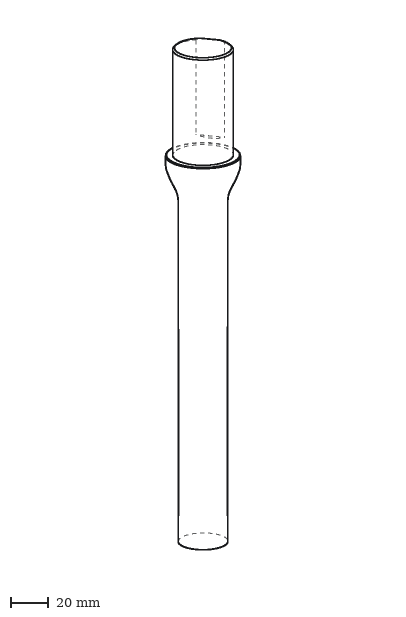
import cadquery as cq

total_length = 276.73
shank_length = 60.0
collar_height = 5.5
taper_length = 19.5
neck_length = 5.0
collar_top = total_length - shank_length
collar_bottom = collar_top - collar_height
neck_top = collar_bottom - taper_length
neck_bottom = neck_top - neck_length
body_top = 115.0
body_bottom = 14.75
head_length = 11.5

shank_radius = 31.99 / 2
collar_radius = 39.5 / 2
neck_radius = 26.32 / 2
head_radius = neck_radius
body_radius = 26.05 / 2

shank_chamfer = 1.0
collar_chamfer = 0.5

flat_offset = 14.0
flat_end_height = 5.8


def blend_up(profile, start_radius, start_z, end_radius, end_z):
    """Add an S-shaped curve that is parallel to the axis at both ends."""
    handle = (end_z - start_z) / 3
    return profile.bezier(
        [
            (start_radius, start_z),
            (start_radius, start_z + handle),
            (end_radius, end_z - handle),
            (end_radius, end_z),
        ]
    )


def make_turned_body():
    """Revolve the half profile of the head, body, neck, collar and shank."""
    profile = (
        cq.Workplane("XZ")
        .lineTo(head_radius, 0)
        .lineTo(head_radius, head_length)
        .lineTo(body_radius, body_bottom)
        .lineTo(body_radius, body_top)
    )
    profile = blend_up(profile, body_radius, body_top, neck_radius, neck_bottom)
    profile = profile.lineTo(neck_radius, neck_top)
    profile = blend_up(profile, neck_radius, neck_top, collar_radius, collar_bottom)
    profile = (
        profile.lineTo(collar_radius, collar_top - collar_chamfer)
        .lineTo(collar_radius - collar_chamfer, collar_top)
        .lineTo(shank_radius, collar_top)
        .lineTo(shank_radius, total_length - shank_chamfer)
        .lineTo(shank_radius - shank_chamfer, total_length)
        .lineTo(0, total_length)
        .close()
    )
    return profile.revolve(360, (0, 0, 0), (0, 1, 0))


def make_flat_cutter():
    """Block outside the clamping flat, with a 45 degree lower face."""
    flat_end_z = collar_top + flat_end_height
    cutter_depth = shank_radius - flat_offset
    return (
        cq.Workplane("YZ")
        .moveTo(flat_offset, total_length)
        .lineTo(flat_offset, flat_end_z)
        .lineTo(flat_offset + cutter_depth, flat_end_z - cutter_depth)
        .lineTo(flat_offset + cutter_depth, total_length)
        .close()
        .extrude(shank_radius, both=True)
    )


result = make_turned_body().cut(make_flat_cutter())